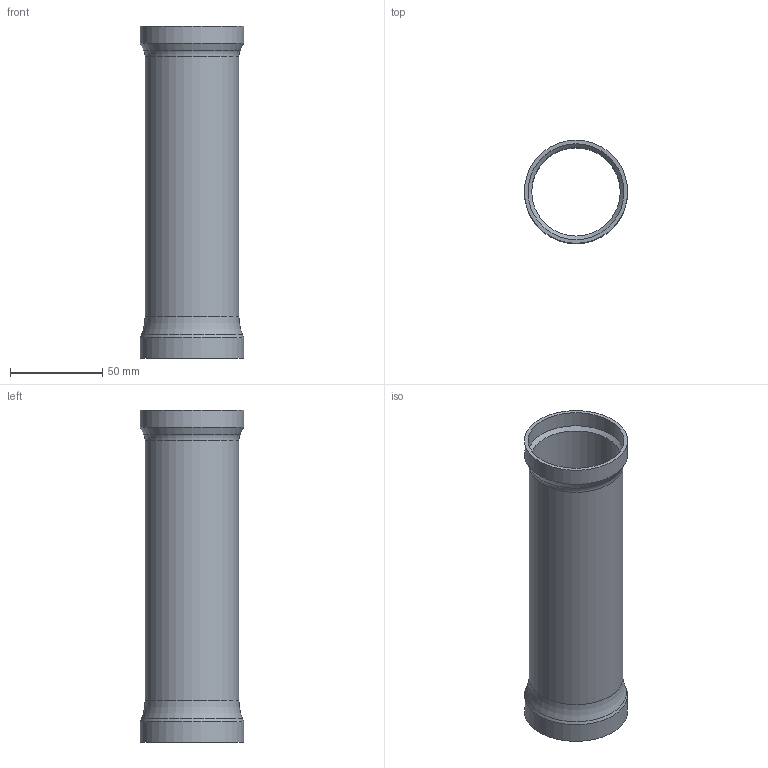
import cadquery as cq
import math

length = 180.0
bore_radius = 24.0
wall = 1.42
tube_radius = bore_radius + wall
collar_radius = 28.0

bottom_collar_height = 11.0
top_collar_height = 9.4

bottom_flare_radius = 26.5
bottom_flare_angle = 22.0
top_flare_radius = 7.6
top_flare_angle = 25.8

socket_radius = 26.0
socket_depth = 8.7
socket_cone_height = 2.0


def flare_points(arc_radius, angle_degrees):
    """Arc points as (radius, height above the tube's end of the flare), and the flare height."""
    angle = math.radians(angle_degrees)

    def arc_point(turn):
        return (tube_radius + arc_radius * (1 - math.cos(turn)), arc_radius * math.sin(turn))

    arc_middle = arc_point(angle / 2)
    arc_end = arc_point(angle)
    cone_height = (collar_radius - arc_end[0]) / math.tan(angle)
    return arc_middle, arc_end, arc_end[1] + cone_height


def make_body():
    """Solid outer shape: tube with a flared collar at each end."""
    low_middle, low_end, low_height = flare_points(bottom_flare_radius, bottom_flare_angle)
    high_middle, high_end, high_height = flare_points(top_flare_radius, top_flare_angle)
    tube_bottom = bottom_collar_height + low_height
    top_collar_base = length - top_collar_height
    tube_top = top_collar_base - high_height

    profile = (
        cq.Workplane("XZ")
        .moveTo(0, 0)
        .lineTo(collar_radius, 0)
        .lineTo(collar_radius, bottom_collar_height)
        .lineTo(low_end[0], tube_bottom - low_end[1])
        .threePointArc((low_middle[0], tube_bottom - low_middle[1]), (tube_radius, tube_bottom))
        .lineTo(tube_radius, tube_top)
        .threePointArc(
            (high_middle[0], tube_top + high_middle[1]),
            (high_end[0], tube_top + high_end[1]),
        )
        .lineTo(collar_radius, top_collar_base)
        .lineTo(collar_radius, length)
        .lineTo(0, length)
        .close()
    )
    return profile.revolve(360, (0, 0, 0), (0, 1, 0))


def make_cavity():
    """Through bore with the stepped socket at the top."""
    socket_floor = length - socket_depth
    profile = (
        cq.Workplane("XZ")
        .moveTo(0, 0)
        .lineTo(bore_radius, 0)
        .lineTo(bore_radius, socket_floor - socket_cone_height)
        .lineTo(socket_radius, socket_floor)
        .lineTo(socket_radius, length)
        .lineTo(0, length)
        .close()
    )
    return profile.revolve(360, (0, 0, 0), (0, 1, 0))


result = make_body().cut(make_cavity())